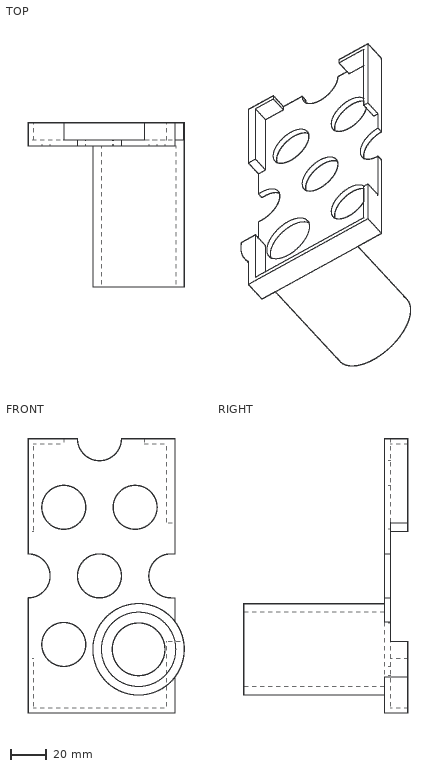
import cadquery as cq

tray_width = 84.0
tray_height = 156.71
tray_depth = 13.45
face_thickness = 3.5
rim_thickness = 3.0
right_rim_thickness = 5.0

hole_diameter = 25.0
hole_pitch_x = 20.38
hole_pitch_z = tray_height / 4
hole_cells = [(1, 1), (2, 2), (1, 3), (3, 3)]
edge_notch_cells = [(0, 2), (2, 4)]
side_slot_cell = (4, 2)

left_window_bottom = 31.1
left_window_top = 103.6
right_window_bottom = 41.0
right_window_top = 108.7
top_window_left = 20.4
top_window_right = 66.4

tube_diameter = 52.3
tube_bore_diameter = 42.5
tube_hole_diameter = 30.0
tube_length = 80.5
tube_x = 63.12
tube_z = 36.4


def box(x_range, y_range, z_range):
    """Axis-aligned box between the given limits."""
    limits = (x_range, y_range, z_range)
    corner = tuple(low for low, high in limits)
    sizes = [high - low for low, high in limits]
    return cq.Workplane("XY").box(*sizes, centered=False).translate(corner)


def cylinder(diameter, x, z, y_start, y_end):
    """Cylinder along Y between two depths."""
    profile = cq.Workplane("XZ", origin=(x, y_start, z)).circle(diameter / 2)
    return profile.extrude(y_start - y_end)


def make_body():
    """Solid tray block joined to the solid tube, which runs the full depth."""
    block = box((0, tray_width), (0, tray_depth), (0, tray_height))
    return block.union(cylinder(tube_diameter, tube_x, tube_z, -tube_length, tray_depth))


def cut_pocket(body):
    """Hollow the tray from behind, leaving the face plate and the rim."""
    pocket = box(
        (rim_thickness, tray_width - right_rim_thickness),
        (face_thickness, tray_depth),
        (rim_thickness, tray_height - rim_thickness),
    )
    return body.cut(pocket)


def cut_windows(body):
    """Open the left, right and top walls of the rim."""
    depth_range = (face_thickness, tray_depth)
    left = box((0, rim_thickness), depth_range, (left_window_bottom, left_window_top))
    right = box(
        (tray_width - right_rim_thickness, tube_x + tube_diameter),
        depth_range,
        (right_window_bottom, right_window_top),
    )
    top = box(
        (top_window_left, top_window_right),
        depth_range,
        (tray_height - rim_thickness, tray_height),
    )
    return body.cut(left).cut(right).cut(top)


def cut_face_holes(body):
    """Cut the grid of holes, the edge notches and the side slot through the face plate."""
    for column, row in hole_cells + edge_notch_cells + [side_slot_cell]:
        center_x = column * hole_pitch_x
        center_z = row * hole_pitch_z
        body = body.cut(cylinder(hole_diameter, center_x, center_z, 0, tray_depth))
    slot_column, slot_row = side_slot_cell
    slot_z = slot_row * hole_pitch_z
    slot_mouth = box(
        (slot_column * hole_pitch_x, tray_width),
        (0, face_thickness),
        (slot_z - hole_diameter / 2, slot_z + hole_diameter / 2),
    )
    return body.cut(slot_mouth)


def cut_tube_bore(body):
    """Bore the tube down to the face plate and pierce the plate with a smaller hole."""
    bore = cylinder(tube_bore_diameter, tube_x, tube_z, -tube_length, 0)
    plate_hole = cylinder(tube_hole_diameter, tube_x, tube_z, 0, face_thickness)
    return body.cut(bore).cut(plate_hole)


result = cut_tube_bore(cut_face_holes(cut_windows(cut_pocket(make_body()))))